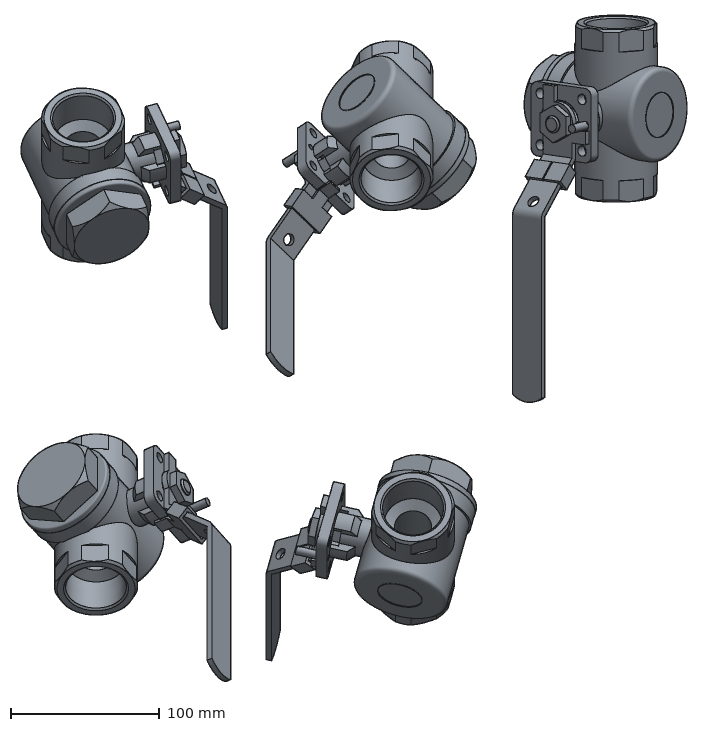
import cadquery as cq
import math


barrel_left = -37.0
barrel_dia = 64.5
barrel_end_fillet = 3.2
badge_dia = 30.6
badge_depth = 0.7
collar_left = 26.2
collar_dia = 67.5
flange_left = 37.3
flange_dia = 68.0
flange_right = 41.7
flange_fillet = 1.2
cap_hex_flats = 53.2
cap_right = 57.5

port_half_length = 59.0
port_dia = 56.0
port_chamfer = 1.7
port_hex_flats = 53.0
port_hex_length = 15.0
mouth_dia = 43.6
thread_top_dia = 41.0
thread_bottom_dia = 39.2
thread_depth = 24.5
funnel_angle = 31.0
mouth_depth = 1.2
bore_dia = 25.0

neck_dia = 26.2
neck_top = 48.3
window_dia = 30.0
arm_outer_dia = 35.3
arm_width = 12.7
arm_slope_start = 41.7
plate_bottom = 53.5
plate_thickness = 7.5
plate_top = plate_bottom + plate_thickness
plate_side = 51.0
plate_corner = 5.5
bolt_spacing = 35.3
bolt_hole_dia = 7.0
stop_pin_dia = 6.0
stop_pin_x = -20.3
stop_pin_top = 75.7
stop_pin_hole_dia = 4.2

stem_corners = 15.5
stem_thread_dia = 11.8
stem_top = 71.8
stem_chamfer = 1.2
nut_flats = 22.0
nut_thickness = 5.1

handle_thickness = 4.0
handle_width = 24.5
hub_dia = 27.5
hub_x = 1.0
hub_z = 0.5
stop_near = 3.2
stop_far = 12.3
stop_reach_up = 25.0
stop_reach_left = 23.5
overall_depth = 132.8
handle_outer_y = overall_depth - flange_dia / 2
overall_height = 245.0
handle_bottom = port_half_length - overall_height
upper_bend_z = -22.5
bend_radius = 7.4
tip_sagitta = 4.2
hang_hole_dia = 8.0
hang_hole_y = 92.0

sleeve_width = 30.0
sleeve_length = 14.5
sleeve_height = 9.8
sleeve_seam = 1.0
sleeve_top_y = 71.0
sheet = 2.2
tongue_width = 9.8
tongue_end_y = 49.0
tongue_bottom_z = -27.0

SQRT2 = math.sqrt(2)

hub_top = plate_top + handle_thickness
slope_sum = hub_top + upper_bend_z
sleeve_top_sum = slope_sum + sheet * SQRT2
sleeve_bottom_sum = sleeve_top_sum - sleeve_height * SQRT2


def cylinder_x(diameter, start, end):
    return cq.Workplane("YZ", origin=(start, 0, 0)).circle(diameter / 2).extrude(end - start)


def cylinder_y(diameter, start, end, x=0.0, z=0.0):
    return cq.Workplane("XZ", origin=(x, start, z)).circle(diameter / 2).extrude(start - end)


def revolved_about_z(points):
    return cq.Workplane("XZ").polyline(points).close().revolve(360, (0, 0, 0), (0, 1, 0))


def revolved_about_y(points):
    return cq.Workplane("XY").polyline(points).close().revolve(360, (0, 0, 0), (0, 1, 0))


def hexagon_corners(flats):
    return flats / math.cos(math.pi / 6)


def make_barrel():
    barrel = cylinder_x(barrel_dia, barrel_left, collar_left).faces("<X").edges().fillet(barrel_end_fillet)
    badge = cylinder_x(badge_dia, barrel_left, barrel_left + badge_depth)
    return barrel.cut(badge).union(cylinder_x(collar_dia, collar_left, flange_left))


def make_cap():
    flange = cylinder_x(flange_dia, flange_left, flange_right)
    flange = flange.faces(">X").edges().fillet(flange_fillet)
    corner_dia = hexagon_corners(cap_hex_flats)
    hexagon = (
        cq.Workplane("YZ", origin=(flange_right, 0, 0))
        .polygon(6, corner_dia)
        .extrude(cap_right - flange_right)
        .rotate((0, 0, 0), (1, 0, 0), 90)
    )
    corner_bevel = (corner_dia - cap_hex_flats) / 2
    envelope = cylinder_x(corner_dia, flange_right, cap_right).faces(">X").edges().chamfer(corner_bevel)
    return flange.union(hexagon.intersect(envelope))


def make_ports():
    ports = cq.Workplane("XY").circle(port_dia / 2).extrude(port_half_length, both=True)
    ports = ports.faces("|Z").edges().chamfer(port_chamfer)
    for end in (-1, 1):
        wrench_ring = (
            cq.Workplane("XY", origin=(0, 0, end * port_half_length))
            .circle(port_dia)
            .polygon(6, hexagon_corners(port_hex_flats))
            .extrude(-end * port_hex_length)
        )
        ports = ports.cut(wrench_ring)
    return ports


def make_port_bore():
    funnel_depth = (thread_bottom_dia - bore_dia) / 2 * math.tan(math.radians(funnel_angle))
    floor_z = port_half_length - thread_depth
    half = [
        (bore_dia / 2, floor_z - funnel_depth),
        (thread_bottom_dia / 2, floor_z),
        (thread_top_dia / 2, port_half_length - mouth_depth),
        (mouth_dia / 2, port_half_length),
    ]
    mirrored = [(r, -z) for r, z in reversed(half)]
    return revolved_about_z([(0, -port_half_length)] + mirrored + half + [(0, port_half_length)])


def make_mount():
    neck = cylinder_y(neck_dia, 0, neck_top)
    slope_end = arm_slope_start - (arm_outer_dia - neck_dia) / 2
    arm_ring = revolved_about_y(
        [
            (0, slope_end),
            (neck_dia / 2, slope_end),
            (arm_outer_dia / 2, arm_slope_start),
            (arm_outer_dia / 2, plate_bottom),
            (window_dia / 2, plate_bottom),
            (window_dia / 2, neck_top),
            (0, neck_top),
        ]
    )
    cross = cq.Workplane("XZ").rect(arm_outer_dia, arm_width).extrude(-plate_top)
    cross = cross.union(cq.Workplane("XZ").rect(arm_width, arm_outer_dia).extrude(-plate_top))
    plate = (
        cq.Workplane("XZ", origin=(0, plate_bottom, 0))
        .rect(plate_side, plate_side)
        .extrude(-plate_thickness)
        .edges("|Y")
        .fillet(plate_corner)
    )
    bolt_holes = (
        cq.Workplane("XZ", origin=(0, plate_bottom, 0))
        .rect(bolt_spacing, bolt_spacing, forConstruction=True)
        .vertices()
        .circle(bolt_hole_dia / 2)
        .extrude(-plate_thickness)
    )
    stem_opening = cylinder_y(window_dia, plate_bottom, plate_top)
    stop_pin = cylinder_y(stop_pin_dia, plate_top, stop_pin_top, stop_pin_x)
    pin_hole = cylinder_y(stop_pin_hole_dia, plate_bottom, plate_top, stop_pin_x)
    mount = neck.union(arm_ring.intersect(cross)).union(plate.cut(bolt_holes).cut(pin_hole).cut(stem_opening))
    return mount.union(stop_pin)


def make_stem():
    thread = cylinder_y(stem_thread_dia, plate_top, stem_top).faces(">Y").edges().chamfer(stem_chamfer)
    square = (
        cq.Workplane("XZ", origin=(0, neck_top, 0))
        .polygon(4, stem_corners)
        .extrude(neck_top - plate_top)
    )
    return square.union(thread)


def make_housing():
    outside = make_barrel().union(make_cap()).union(make_ports()).union(make_mount()).union(make_stem())
    return outside.cut(make_port_bore()).cut(make_tongue())


def make_strip():
    bend_shift = handle_thickness * math.tan(math.pi / 8)
    lower_bend_z = slope_sum - handle_outer_y
    outline = [
        (hub_top, 0),
        (hub_top, upper_bend_z),
        (handle_outer_y, lower_bend_z),
        (handle_outer_y, handle_bottom),
        (handle_outer_y - handle_thickness, handle_bottom),
        (handle_outer_y - handle_thickness, lower_bend_z - bend_shift),
        (plate_top, upper_bend_z - bend_shift),
        (plate_top, 0),
    ]
    strip = cq.Workplane("YZ").polyline(outline).close().extrude(handle_width / 2, both=True)
    outer_bend = cq.selectors.NearestToPointSelector((0, handle_outer_y, lower_bend_z))
    strip = strip.edges(outer_bend).fillet(bend_radius)

    tip_start = handle_bottom + tip_sagitta
    half_width = handle_width / 2
    front_shape = (
        cq.Workplane("XZ")
        .moveTo(-half_width, 0)
        .lineTo(-half_width, tip_start)
        .threePointArc((0, handle_bottom), (half_width, tip_start))
        .lineTo(half_width, 0)
        .close()
        .extrude(-handle_outer_y)
    )
    return strip.intersect(front_shape)


def make_handle():
    hub = cylinder_y(hub_dia, plate_top, hub_top, hub_x, hub_z)
    stop_width = stop_far - stop_near
    up_stop = cq.Workplane("XY").box(stop_width, handle_thickness, stop_reach_up, centered=False)
    left_stop = cq.Workplane("XY").box(stop_reach_left, handle_thickness, stop_width, centered=False)
    handle = make_strip().union(hub)
    handle = handle.union(up_stop.translate((stop_near, plate_top, 0)))
    handle = handle.union(left_stop.translate((-stop_reach_left, plate_top, -stop_far)))
    slope_plane = cq.Plane((0, hang_hole_y, slope_sum - hang_hole_y), (1, 0, 0), (0, 1, 1))
    hang_hole = cq.Workplane(slope_plane).circle(hang_hole_dia / 2).extrude(-handle_thickness)
    return handle.cut(hang_hole).cut(cylinder_y(stem_thread_dia, plate_top, hub_top))


def make_nut():
    nut = (
        cq.Workplane("XZ", origin=(0, hub_top, 0))
        .polygon(6, hexagon_corners(nut_flats))
        .extrude(-nut_thickness)
        .rotate((0, 0, 0), (0, 1, 0), 90)
    )
    return nut.cut(cylinder_y(stem_thread_dia, hub_top, hub_top + nut_thickness))


def make_tongue():
    inner_sum = sleeve_bottom_sum + sheet * SQRT2
    tongue_top_z = tongue_bottom_z + sheet
    root_y = sleeve_top_y - (sleeve_height - sheet) / SQRT2
    outline = [
        (root_y, inner_sum - root_y),
        (inner_sum - tongue_top_z, tongue_top_z),
        (tongue_end_y, tongue_top_z),
        (tongue_end_y, tongue_bottom_z),
        (sleeve_bottom_sum - tongue_bottom_z, tongue_bottom_z),
        (root_y - sheet / SQRT2, sleeve_bottom_sum - root_y + sheet / SQRT2),
    ]
    return cq.Workplane("YZ").polyline(outline).close().extrude(tongue_width / 2, both=True)


def make_lock_slide():
    top_edge = (0, sleeve_top_y, sleeve_top_sum - sleeve_top_y)
    frame = cq.Plane(top_edge, (1, 0, 0), (0, 1, 1))
    sleeve = (
        cq.Workplane(frame)
        .center(0, sleeve_length / 2)
        .rect(sleeve_width, sleeve_length)
        .extrude(-sleeve_height)
    )
    seam = cq.Workplane(frame).center(0, sleeve_length / 2).rect(sleeve_seam, sleeve_length).extrude(-sheet)
    inside = (
        cq.Workplane(frame)
        .workplane(offset=-sheet)
        .center(0, sleeve_length / 2)
        .rect(handle_width, sleeve_length)
        .extrude(-(sleeve_height - 2 * sheet))
    )
    return sleeve.cut(seam).cut(inside).union(make_tongue())


housing = make_housing()
handle = make_handle()
nut = make_nut()
lock_slide = make_lock_slide()

result = cq.Compound.makeCompound([housing.val(), handle.val(), nut.val(), lock_slide.val()])